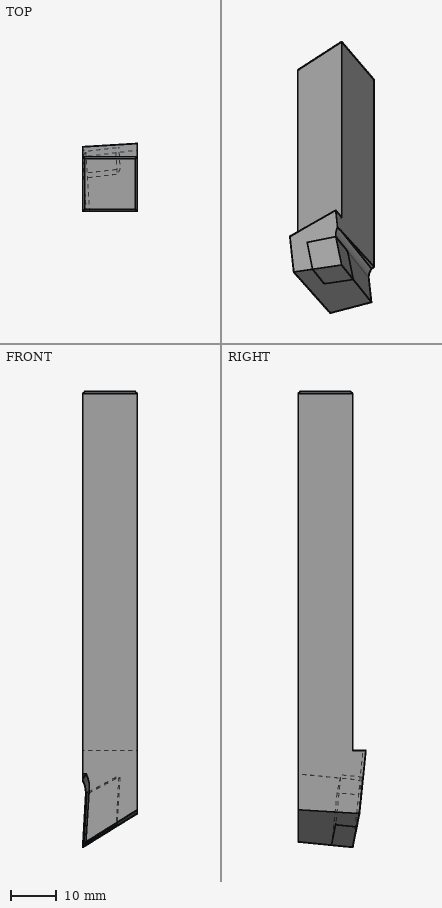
import cadquery as cq
import math

WIDTH = 12.0
HALF = WIDTH / 2
LENGTH = 99.93
TOP_CHAMFER = 0.5

HEAD_HEIGHT = 21.25
OVERALL_DEPTH = 14.9
HEAD_OVERHANG = OVERALL_DEPTH - WIDTH

FLANK_RELIEF = 3.45
END_SLOPE = 32.0
END_TILT = 3.5
GROOVE_TILT = 5.6
RAKE_BACK = 3.6
RAKE_SIDE = 3.5

RAKE_LENGTH = 11.65
GROOVE_RADIUS = 6.0
GROOVE_LENGTH = 3.2

INSERT_WIDTH = 4.7
INSERT_THICKNESS = 7.0

CUT_SIZE = 60.0
X_AXIS = (1, 0, 0)
Y_AXIS = (0, 1, 0)
Z_AXIS = (0, 0, 1)
ORIGIN = (0, 0, 0)
TIP = (-HALF, HALF, 0)


def turned(shape, axis, degrees):
    return shape.rotate(ORIGIN, axis, degrees)


def bar_with_head():
    """Square bar, chamfered at its upper end, with the plain head block below."""
    bar = cq.Workplane("XY").box(WIDTH, WIDTH, LENGTH, centered=(True, True, False))
    bar = bar.faces(">Z").chamfer(TOP_CHAMFER)
    head = (
        cq.Workplane("XY")
        .box(WIDTH, OVERALL_DEPTH, HEAD_HEIGHT, centered=(True, False, False))
        .translate((0, -HALF, 0))
    )
    return bar.union(head)


def beyond_flank():
    """Space outside the +Y flank, which joins the tip to the upper +X corner of the head."""
    relief = math.radians(FLANK_RELIEF)
    inset_at_tip = HEAD_OVERHANG - WIDTH * math.tan(relief)
    flank_taper = math.degrees(math.atan(inset_at_tip * math.cos(relief) / HEAD_HEIGHT))
    space = cq.Workplane("XY").box(CUT_SIZE, CUT_SIZE, CUT_SIZE, centered=(True, False, True))
    space = turned(space, X_AXIS, -flank_taper)
    space = turned(space, Z_AXIS, FLANK_RELIEF)
    return space.translate((HALF, HALF + HEAD_OVERHANG, HEAD_HEIGHT))


def below_end():
    """Space under the sloping lower end, which passes through the tip."""
    space = cq.Workplane("XY").box(CUT_SIZE, CUT_SIZE, CUT_SIZE).translate((0, 0, -CUT_SIZE / 2))
    space = turned(space, Y_AXIS, -END_SLOPE)
    space = turned(space, X_AXIS, -END_TILT)
    return space.translate(TIP)


def rake_frame(shape):
    """Lean a shape drawn on the upright -X side of the tip onto the rake face."""
    shape = turned(shape, Y_AXIS, RAKE_BACK)
    shape = turned(shape, X_AXIS, -GROOVE_TILT)
    shape = turned(shape, Z_AXIS, RAKE_SIDE)
    return shape.translate(TIP)


def beyond_rake():
    """Space in front of the rake face, closed above by the tangent groove arc and its shoulder."""
    groove_sweep = math.asin(GROOVE_LENGTH / GROOVE_RADIUS)

    def arc_point(angle):
        return (
            -GROOVE_RADIUS * (1 - math.cos(angle)),
            RAKE_LENGTH + GROOVE_RADIUS * math.sin(angle),
        )

    arc_end = arc_point(groove_sweep)
    space = (
        cq.Workplane("XZ")
        .moveTo(0, -CUT_SIZE / 2)
        .lineTo(0, RAKE_LENGTH)
        .threePointArc(arc_point(groove_sweep / 2), arc_end)
        .line(-CUT_SIZE, 0)
        .lineTo(arc_end[0] - CUT_SIZE, -CUT_SIZE / 2)
        .close()
        .extrude(CUT_SIZE / 2, both=True)
    )
    return rake_frame(space)


def insert_space():
    """Block behind the rake face that the insert fills, its upper edge parallel to the sloping end."""
    back_rise = INSERT_THICKNESS * math.tan(math.radians(END_SLOPE))
    space = (
        cq.Workplane("XZ")
        .moveTo(0, RAKE_LENGTH)
        .line(INSERT_THICKNESS, back_rise)
        .lineTo(INSERT_THICKNESS, -CUT_SIZE / 2)
        .lineTo(-INSERT_THICKNESS, -CUT_SIZE / 2)
        .lineTo(-INSERT_THICKNESS, RAKE_LENGTH)
        .close()
        .extrude(INSERT_WIDTH, both=True)
    )
    return rake_frame(space)


tool = bar_with_head().cut(beyond_flank()).cut(below_end()).cut(beyond_rake())
shank = tool.cut(insert_space())
insert = tool.intersect(insert_space())
result = cq.Compound.makeCompound([shank.val(), insert.val()])